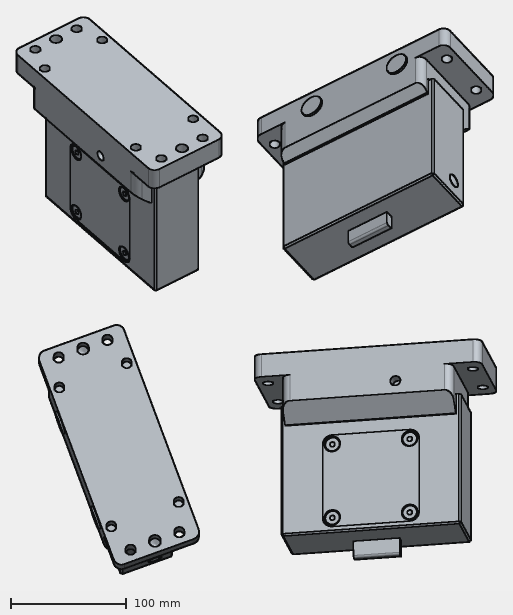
import cadquery as cq
import math

CUT_MARGIN = 2.0
DRILL_POINT_ANGLE = 118.0

FLANGE_LENGTH = 200.0
HEAD_WIDTH = 78.0
FLANGE_THICKNESS = 21.0
CORNER_RADIUS = 7.0

SADDLE_LENGTH = 150.0
SADDLE_DEPTH = 61.0
FRONT_LIP_CHAMFER = 16.0
REAR_LIP_CHAMFER = 8.5
FRONT_CLEARANCE = 0.5
REAR_CLEARANCE = 1.5

END_HOLE_X = 90.0
BOLT_HOLE_Y = 22.5
BOLT_HOLE_DIAMETER = 9.0
DOWEL_HOLE_DIAMETER = 10.5
DOWEL_HOLE_DEPTH = 16.0
TAPPED_HOLE_X = 65.0
TAPPED_HOLE_Y = 31.0
TAPPED_HOLE_DIAMETER = 8.8
TAPPED_HOLE_DEPTH = 16.0
SIDE_HOLE_X = 25.0
SIDE_HOLE_DROP = 33.5
SIDE_HOLE_DEPTH = 12.0
BOSS_DIAMETER = 20.5
BOSS_HEIGHT = 2.0
BOSS_DROP = 18.8
BOSS_XS = (-49.8, 39.2)

HOUSING_LENGTH = 158.0
HOUSING_WIDTH = 48.0
HOUSING_Y = 3.5
HOUSING_TOP = -42.5
HOUSING_BOTTOM = -162.0
HOUSING_CHAMFER = 1.5
HOUSING_FRONT_Y = HOUSING_Y - HOUSING_WIDTH / 2
HOUSING_REAR_Y = HOUSING_Y + HOUSING_WIDTH / 2

TONGUE_LENGTH = 40.5
TONGUE_THICKNESS = 7.5
TONGUE_Y = 8.5
TONGUE_HEIGHT = 15.0
TONGUE_EDGE_RADIUS = 2.0
BUTTON_Y = -4.0
BUTTON_Z = -144.0
BUTTON_RADIUS = 6.2
BUTTON_RIM_HEIGHT = 0.5
DOME_RISE = 1.5

SCREW_PITCH = 68.0
COVER_CORNER_RADIUS = 8.5
COVER_SIZE = SCREW_PITCH + 2 * COVER_CORNER_RADIUS
COVER_THICKNESS = 6.0
COVER_Z = -114.5
SCREW_SEAT_DIAMETER = 14.0
SCREW_SEAT_FLOOR_DIAMETER = 12.5
SCREW_SEAT_DEPTH = (SCREW_SEAT_DIAMETER - SCREW_SEAT_FLOOR_DIAMETER) / 2
CENTRE_MARK_RADIUS = 2.2


def drill_point_height(radius):
    """Height of the cone that a drill leaves at the bottom of a hole."""
    return radius / math.tan(math.radians(DRILL_POINT_ANGLE / 2))


def rounded_block(length, width, top, bottom, radius):
    block = cq.Workplane("XY", origin=(0, 0, bottom)).rect(length, width).extrude(top - bottom)
    return block.edges("|Z").fillet(radius)


def holes_down(points, diameter, depth):
    """Flat-bottomed hole tools going down from the flange top."""
    top = cq.Workplane("XY", origin=(0, 0, CUT_MARGIN))
    return top.pushPoints(points).circle(diameter / 2).extrude(-(depth + CUT_MARGIN))


def dowel_hole(x):
    """Blind drilled hole with a conical bottom, in the flange."""
    radius = DOWEL_HOLE_DIAMETER / 2
    tip_z = -DOWEL_HOLE_DEPTH - drill_point_height(radius)
    profile = [(0, CUT_MARGIN), (radius, CUT_MARGIN), (radius, -DOWEL_HOLE_DEPTH), (0, tip_z)]
    return cq.Workplane("XZ").polyline(profile).close().revolve(360, (0, 0), (0, 1)).translate((x, 0, 0))


def saddle_section():
    """Prism along X whose end shape gives the saddle its channel and bevelled lips."""
    front = -HEAD_WIDTH / 2
    rear = HEAD_WIDTH / 2
    channel_front = HOUSING_FRONT_Y - FRONT_CLEARANCE
    channel_rear = HOUSING_REAR_Y + REAR_CLEARANCE
    outline = [
        (front, 0),
        (front, -SADDLE_DEPTH + FRONT_LIP_CHAMFER),
        (front + FRONT_LIP_CHAMFER, -SADDLE_DEPTH),
        (channel_front, -SADDLE_DEPTH),
        (channel_front, HOUSING_TOP),
        (channel_rear, HOUSING_TOP),
        (channel_rear, -SADDLE_DEPTH),
        (rear - REAR_LIP_CHAMFER, -SADDLE_DEPTH),
        (rear, -SADDLE_DEPTH + REAR_LIP_CHAMFER),
        (rear, 0),
    ]
    return cq.Workplane("YZ").polyline(outline).close().extrude(SADDLE_LENGTH / 2, both=True)


def make_head():
    flange = rounded_block(FLANGE_LENGTH, HEAD_WIDTH, 0, -FLANGE_THICKNESS, CORNER_RADIUS)
    saddle = rounded_block(SADDLE_LENGTH, HEAD_WIDTH, 0, -SADDLE_DEPTH, CORNER_RADIUS)
    head = flange.union(saddle.intersect(saddle_section()))

    bolt_points = [(x, y) for x in (-END_HOLE_X, END_HOLE_X) for y in (-BOLT_HOLE_Y, BOLT_HOLE_Y)]
    head = head.cut(holes_down(bolt_points, BOLT_HOLE_DIAMETER, FLANGE_THICKNESS + CUT_MARGIN))
    tapped_points = [(x, y) for x in (-TAPPED_HOLE_X, TAPPED_HOLE_X) for y in (-TAPPED_HOLE_Y, TAPPED_HOLE_Y)]
    head = head.cut(holes_down(tapped_points, TAPPED_HOLE_DIAMETER, TAPPED_HOLE_DEPTH))
    for x in (-END_HOLE_X, END_HOLE_X):
        head = head.cut(dowel_hole(x))

    side_hole_plane = cq.Workplane("XZ", origin=(SIDE_HOLE_X, -HEAD_WIDTH / 2, -SIDE_HOLE_DROP))
    head = head.cut(side_hole_plane.circle(TAPPED_HOLE_DIAMETER / 2).extrude(-SIDE_HOLE_DEPTH))

    boss_plane = cq.Workplane("XZ", origin=(0, HEAD_WIDTH / 2, 0))
    boss_points = [(x, -BOSS_DROP) for x in BOSS_XS]
    return head.union(boss_plane.pushPoints(boss_points).circle(BOSS_DIAMETER / 2).extrude(-BOSS_HEIGHT))


def cover_blank():
    """Plain cover outline; it is also the shape of the recess that holds the cover."""
    plane = cq.Workplane("XZ", origin=(0, HOUSING_FRONT_Y, COVER_Z))
    blank = plane.rect(COVER_SIZE, COVER_SIZE).extrude(-COVER_THICKNESS)
    return blank.edges("|Y").fillet(COVER_CORNER_RADIUS)


def make_tongue():
    plane = cq.Workplane("XY", origin=(0, TONGUE_Y, HOUSING_BOTTOM))
    tongue = plane.rect(TONGUE_LENGTH, TONGUE_THICKNESS).extrude(-TONGUE_HEIGHT)
    return tongue.faces("<Z").edges("|X").fillet(TONGUE_EDGE_RADIUS)


def make_button():
    """Short cylinder with a spherical cap, standing on the -X end of the housing."""
    sphere_radius = (BUTTON_RADIUS**2 + DOME_RISE**2) / (2 * DOME_RISE)
    mid_radius = BUTTON_RADIUS / 2
    mid_drop = sphere_radius - math.sqrt(sphere_radius**2 - mid_radius**2)
    top = BUTTON_RIM_HEIGHT + DOME_RISE
    profile = (
        cq.Workplane("XY", origin=(-HOUSING_LENGTH / 2, BUTTON_Y, BUTTON_Z))
        .lineTo(-top, 0)
        .threePointArc((-top + mid_drop, mid_radius), (-BUTTON_RIM_HEIGHT, BUTTON_RADIUS))
        .lineTo(0, BUTTON_RADIUS)
        .close()
    )
    return profile.revolve(360, (0, 0), (1, 0))


def make_housing():
    plane = cq.Workplane("XY", origin=(0, HOUSING_Y, HOUSING_BOTTOM))
    block = plane.rect(HOUSING_LENGTH, HOUSING_WIDTH).extrude(HOUSING_TOP - HOUSING_BOTTOM)
    block = block.edges("|Z or <Z").chamfer(HOUSING_CHAMFER)
    return block.union(make_tongue()).union(make_button()).cut(cover_blank())


def screw_seat(x, z):
    """Bevelled shallow seat with a conical centre mark in its floor, cut from the cover's face."""
    floor_radius = SCREW_SEAT_FLOOR_DIAMETER / 2
    mark_tip = SCREW_SEAT_DEPTH + drill_point_height(CENTRE_MARK_RADIUS)
    profile = [
        (0, 0),
        (SCREW_SEAT_DIAMETER / 2, 0),
        (floor_radius, SCREW_SEAT_DEPTH),
        (CENTRE_MARK_RADIUS, SCREW_SEAT_DEPTH),
        (0, mark_tip),
    ]
    seat = cq.Workplane("XY").polyline(profile).close().revolve(360, (0, 0), (0, 1))
    return seat.translate((x, HOUSING_FRONT_Y, z))


def make_cover():
    cover = cover_blank()
    for x in (-SCREW_PITCH / 2, SCREW_PITCH / 2):
        for z in (COVER_Z - SCREW_PITCH / 2, COVER_Z + SCREW_PITCH / 2):
            cover = cover.cut(screw_seat(x, z))
    return cover


head = make_head()
housing = make_housing()
cover = make_cover()

result = cq.Compound.makeCompound([head.val(), housing.val(), cover.val()])